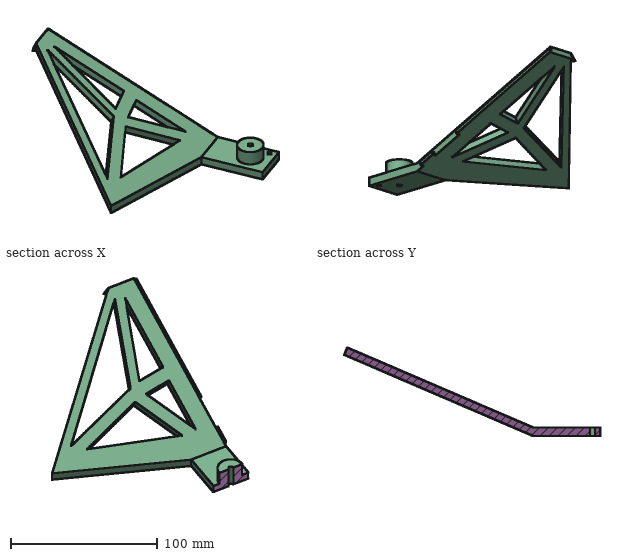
import cadquery as cq
import math

overall_length = 175.0
overall_height = 60.5
foot_length = 45.8
foot_width = 27.5
foot_thickness = 6.0

boss_diameter = 18.2
boss_height = 10.0
boss_bore = 3.5
boss_x = 30.5
boss_y = -foot_width / 2
pin_hole_diameter = 3.0
pin_hole_x = 40.5
pin_hole_y = -4.0

tip_x, tip_y = -25.0, -122.7
end_width = 20.0

arm_reach = overall_length - foot_length
arm_rise = overall_height - foot_thickness

slope_refinements = 20
slope = math.atan2(arm_rise, arm_reach)
for _ in range(slope_refinements):
    lean = foot_thickness * math.sin(slope) * math.cos(slope)
    slope = math.atan2(arm_rise, arm_reach - lean)

arm_thickness = foot_thickness * math.cos(slope)
end_lean = arm_thickness * math.sin(slope)
end_drop = arm_thickness * math.cos(slope)
end_top_x = end_lean - arm_reach

tab_width = 2.8
tab_thickness = arm_thickness / 2
arm_length = -end_top_x / math.cos(slope)
tab_spans = [(41.3, arm_length), (4.0, 16.5)]

spur_depth = 2.8
spur_length = 2.8
spur_inset = 0.7

windows = [
    [(-116.5, -12.6), (-64.5, -12.6), (-61.6, -32.9)],
    [(-54.8, -13.6), (-18.0, -13.6), (-52.0, -33.2)],
    [(-118.6, -19.5), (-59.3, -41.1), (-37.6, -100.3)],
    [(-49.5, -43.2), (-17.3, -24.7), (-31.7, -91.2)],
]

arm_top = cq.Plane(
    origin=(0, 0, foot_thickness),
    xDir=(math.cos(slope), 0, -math.sin(slope)),
    normal=(math.sin(slope), 0, math.cos(slope)),
)


def make_foot():
    plate = cq.Workplane("XY").box(foot_length, foot_width, foot_thickness, centered=False)
    plate = plate.translate((0, -foot_width, 0))
    boss = (
        cq.Workplane("XY")
        .center(boss_x, boss_y)
        .circle(boss_diameter / 2)
        .extrude(foot_thickness + boss_height)
    )
    return plate.union(boss)


def drill_foot(body):
    for x, y, diameter in [(boss_x, boss_y, boss_bore), (pin_hole_x, pin_hole_y, pin_hole_diameter)]:
        drill = cq.Workplane("XY").center(x, y).circle(diameter / 2).extrude(overall_height)
        body = body.cut(drill)
    return body


def make_arm():
    """Sloped slab with a square-cut free end, trimmed by vertical outer walls."""
    profile = [
        (0, 0),
        (0, foot_thickness),
        (end_top_x, overall_height),
        (-arm_reach, overall_height - end_drop),
    ]
    slab = cq.Workplane("XZ").polyline(profile).close().extrude(-tip_y)
    plan = [
        (0, 0),
        (-arm_reach, 0),
        (-arm_reach, -end_width),
        (end_top_x, -end_width),
        (tip_x, tip_y),
        (0, -foot_width),
    ]
    outline = cq.Workplane("XY").polyline(plan).close().extrude(overall_height)
    return slab.intersect(outline)


def make_window(corners):
    """Window cutter square to the arm's top face."""
    points = [(x / math.cos(slope), y) for x, y in corners]
    cutter = cq.Workplane(arm_top).polyline(points).close()
    return cutter.extrude(arm_thickness, both=True)


def make_tab(start, end):
    """Back-edge tab between two distances from the bend, measured up the slope."""
    return (
        cq.Workplane(arm_top)
        .workplane(offset=-arm_thickness)
        .moveTo(-end, -tab_width)
        .lineTo(-start, -tab_width)
        .lineTo(-start, tab_width)
        .lineTo(-end, tab_width)
        .close()
        .extrude(tab_thickness)
    )


def make_spur():
    """Small pyramid with its apex at the top corner of the free end."""
    base = [
        (-arm_length, -end_width + spur_inset),
        (-arm_length + spur_inset, -end_width - spur_depth),
        (-arm_length + spur_length, -end_width),
    ]
    corners = [arm_top.toWorldCoords((x, y, -arm_thickness)) for x, y in base]
    corners.append(arm_top.toWorldCoords((-arm_length, -end_width, 0)))
    faces = []
    for skipped in range(len(corners)):
        ring = corners[:skipped] + corners[skipped + 1:]
        faces.append(cq.Face.makeFromWires(cq.Wire.makePolygon(ring, close=True)))
    return cq.Workplane(cq.Solid.makeSolid(cq.Shell.makeShell(faces)))


arm = make_arm().union(make_spur())
for window in windows:
    arm = arm.cut(make_window(window))
for tab_start, tab_end in tab_spans:
    arm = arm.union(make_tab(tab_start, tab_end))

result = drill_foot(make_foot().union(arm))